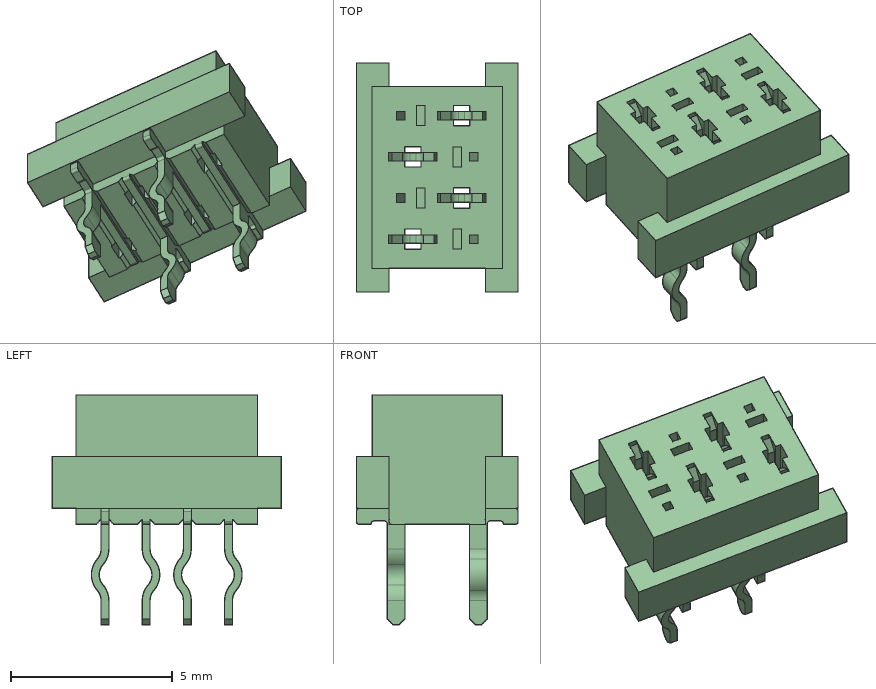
import cadquery as cq
import math

BODY_X = 4.025
BODY_Y = 5.615
BODY_Z = 4.0
FOOT_X = 2.97
RAIL_OUTER_X = 5.0
RAIL_Y = 7.08
RAIL_BOTTOM = 0.5
RAIL_TOP = 2.1

ROW_COUNT = 4
ROW_PITCH = 1.27
PIN_X = ROW_PITCH
SHEET = 0.25

PIN_WIDTH = 0.555
PIN_LENGTH = 3.1
PIN_TIP = 0.185
BEND_RADIUS = 0.6
BEND_RISE = 0.4
BEND_MIDDLE_Z = -1.555

FOOT_TOE = 0.46
FOOT_ARCH = 0.11
ARCH_FILLET = 0.09
FOOT_ROUND = 0.09

GROOVE_DEPTH = 0.155
GROOVE_CHAMFER = 0.14

OPENING_WIDTH = 0.26
SLOT_X = 0.75
SLOT_LENGTH = 1.5
WINDOW_X = 0.5
WINDOW_Y = 0.62
THROAT_HALF = 0.33
THROAT_DEPTH = 1.42
THROAT_FILLET = 0.235
FORK_MOUTH_HALF = 0.645
FORK_CREST_DEPTH = 0.035
FORK_MOUTH_DEPTH = 0.375
FORK_END_DEPTH = 1.21
POCKET_X_LEFT_ROW = -0.505
POCKET_X_RIGHT_ROW = 0.625
POCKET_DEPTH = 0.71
PIT_X = 1.13
PIT_DEPTH = 0.92


def box(size_x, size_y, z_low, z_high, x=0.0, y=0.0):
    return cq.Workplane("XY", origin=(x, y, z_low)).rect(size_x, size_y).extrude(z_high - z_low)


def plate(outline, thickness):
    """Extrude an outline drawn in the XZ plane, centred on Y = 0."""
    return outline.close().extrude(thickness / 2, both=True)


def housing():
    upper = box(BODY_X, BODY_Y, RAIL_BOTTOM, BODY_Z)
    lower = box(FOOT_X, BODY_Y, 0, BODY_Z)
    rail_width = (RAIL_OUTER_X - FOOT_X) / 2
    rail_x = (RAIL_OUTER_X - rail_width) / 2
    body = upper.union(lower)
    for side in (-1, 1):
        body = body.union(box(rail_width, RAIL_Y, RAIL_BOTTOM, RAIL_TOP, x=side * rail_x))
    return body


def groove():
    """Chamfered groove across the underside of the block."""
    return (
        cq.Workplane("YZ")
        .moveTo(-SHEET / 2 - GROOVE_CHAMFER, 0)
        .lineTo(-SHEET / 2, GROOVE_DEPTH)
        .lineTo(SHEET / 2, GROOVE_DEPTH)
        .lineTo(SHEET / 2 + GROOVE_CHAMFER, 0)
        .close()
        .extrude(FOOT_X / 2, both=True)
    )


def fork_slot():
    """Slot above the contact fork: its floor follows the fork arms and the throat between them."""
    end = SLOT_LENGTH / 2
    flat = THROAT_HALF - THROAT_FILLET
    diagonal = THROAT_FILLET * math.sqrt(0.5)
    arc_mid_x = flat + diagonal
    arc_mid_z = -THROAT_DEPTH + THROAT_FILLET - diagonal
    outline = (
        cq.Workplane("XZ", origin=(0, 0, BODY_Z))
        .moveTo(-end, 0)
        .lineTo(-end, -FORK_END_DEPTH)
        .lineTo(-FORK_MOUTH_HALF, -FORK_CREST_DEPTH)
        .lineTo(-THROAT_HALF, -FORK_MOUTH_DEPTH)
        .lineTo(-THROAT_HALF, -THROAT_DEPTH + THROAT_FILLET)
        .threePointArc((-arc_mid_x, arc_mid_z), (-flat, -THROAT_DEPTH))
        .lineTo(flat, -THROAT_DEPTH)
        .threePointArc((arc_mid_x, arc_mid_z), (THROAT_HALF, -THROAT_DEPTH + THROAT_FILLET))
        .lineTo(THROAT_HALF, -FORK_MOUTH_DEPTH)
        .lineTo(FORK_MOUTH_HALF, -FORK_CREST_DEPTH)
        .lineTo(end, -FORK_END_DEPTH)
        .lineTo(end, 0)
    )
    return plate(outline, OPENING_WIDTH)


def windows():
    """Two through openings, one on each side of the fork."""
    full = box(WINDOW_X, WINDOW_Y, 0, BODY_Z)
    return full.cut(box(WINDOW_X, OPENING_WIDTH, 0, BODY_Z))


def pit():
    """Square pit whose floor falls steeply from the outer edge (-X) inwards."""
    half = OPENING_WIDTH / 2
    outline = (
        cq.Workplane("XZ", origin=(0, 0, BODY_Z))
        .moveTo(-half, 0)
        .lineTo(half, -PIT_DEPTH)
        .lineTo(half, 0)
    )
    return plate(outline, OPENING_WIDTH)


def bent_pin():
    """Pin at X = 0 with its bow towards +Y."""
    angle = math.asin(BEND_RISE / BEND_RADIUS)
    bow = 2 * BEND_RADIUS * (1 - math.cos(angle))
    half_bow_rise = 2 * BEND_RISE
    path = (
        cq.Workplane("YZ")
        .moveTo(0, RAIL_BOTTOM)
        .lineTo(0, BEND_MIDDLE_Z + half_bow_rise)
        .tangentArcPoint((bow / 2, BEND_MIDDLE_Z + BEND_RISE), relative=False)
        .tangentArcPoint((bow, BEND_MIDDLE_Z), relative=False)
        .tangentArcPoint((bow / 2, BEND_MIDDLE_Z - BEND_RISE), relative=False)
        .tangentArcPoint((0, BEND_MIDDLE_Z - half_bow_rise), relative=False)
        .lineTo(0, -PIN_LENGTH)
    )
    top_section = cq.Workplane("XY", origin=(0, 0, RAIL_BOTTOM)).rect(PIN_WIDTH, SHEET)
    strip = top_section.sweep(path)
    return strip.faces("<Z").edges("|Y").chamfer(PIN_TIP)


def contact_foot():
    """Sheet under the block of a -X row: toe, arch and the bar lying in the groove."""
    outer = RAIL_OUTER_X / 2
    inner = FOOT_X / 2
    sheet = box(outer + inner, SHEET, 0, RAIL_BOTTOM, x=(inner - outer) / 2)
    sheet = sheet.edges("|Y and (<X or (>X and <Z))").fillet(FOOT_ROUND)
    arch_start = -outer + FOOT_TOE
    arch_end = -PIN_X - PIN_WIDTH / 2
    arch = box(arch_end - arch_start, SHEET, 0, FOOT_ARCH, x=(arch_start + arch_end) / 2)
    return sheet.cut(arch.edges("|Y and >Z").fillet(ARCH_FILLET))


def placed(shape, row_y, turn):
    return shape.rotate((0, 0, 0), (0, 0, 1), turn).translate((0, row_y, 0))


left_contact = contact_foot().union(bent_pin().translate((-PIN_X, 0, 0)))
top_cuts = fork_slot().union(windows()).translate((SLOT_X, 0, 0))
top_cuts = top_cuts.union(pit().translate((-PIT_X, 0, 0)))

result = housing()
for row in range(ROW_COUNT):
    row_y = ((ROW_COUNT - 1) / 2 - row) * ROW_PITCH
    is_left = row % 2 == 0
    turn = 0 if is_left else 180
    pocket_x = POCKET_X_LEFT_ROW if is_left else POCKET_X_RIGHT_ROW
    pocket = box(OPENING_WIDTH, WINDOW_Y, BODY_Z - POCKET_DEPTH, BODY_Z, x=pocket_x, y=row_y)
    result = result.cut(placed(groove(), row_y, turn))
    result = result.union(placed(left_contact, row_y, turn))
    result = result.cut(placed(top_cuts, row_y, turn))
    result = result.cut(pocket)